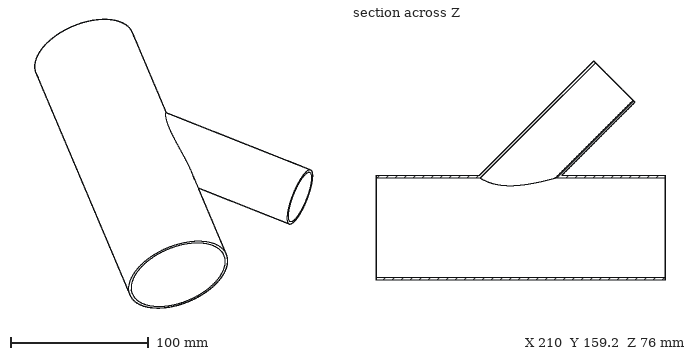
import cadquery as cq
import math

main_length = 210.0
main_outer_diameter = 76.0
main_inner_diameter = 72.0

branch_outer_diameter = 42.5
branch_inner_diameter = 38.5
branch_angle = 45.0
branch_length = 150.2
branch_origin_x = -38.2


def main_cylinder(diameter):
    """Cylinder of the full main length along X."""
    return cq.Workplane("YZ").circle(diameter / 2).extrude(main_length / 2, both=True)


def branch_cylinder(diameter):
    """Cylinder from the crossing of the axes to the open end of the branch."""
    angle = math.radians(branch_angle)
    branch_direction = (math.cos(angle), math.sin(angle), 0)
    branch_plane = cq.Plane(
        origin=(branch_origin_x, 0, 0), xDir=(0, 0, 1), normal=branch_direction
    )
    return cq.Workplane(branch_plane).circle(diameter / 2).extrude(branch_length)


outer_body = main_cylinder(main_outer_diameter).union(branch_cylinder(branch_outer_diameter))
result = outer_body.cut(main_cylinder(main_inner_diameter)).cut(branch_cylinder(branch_inner_diameter))